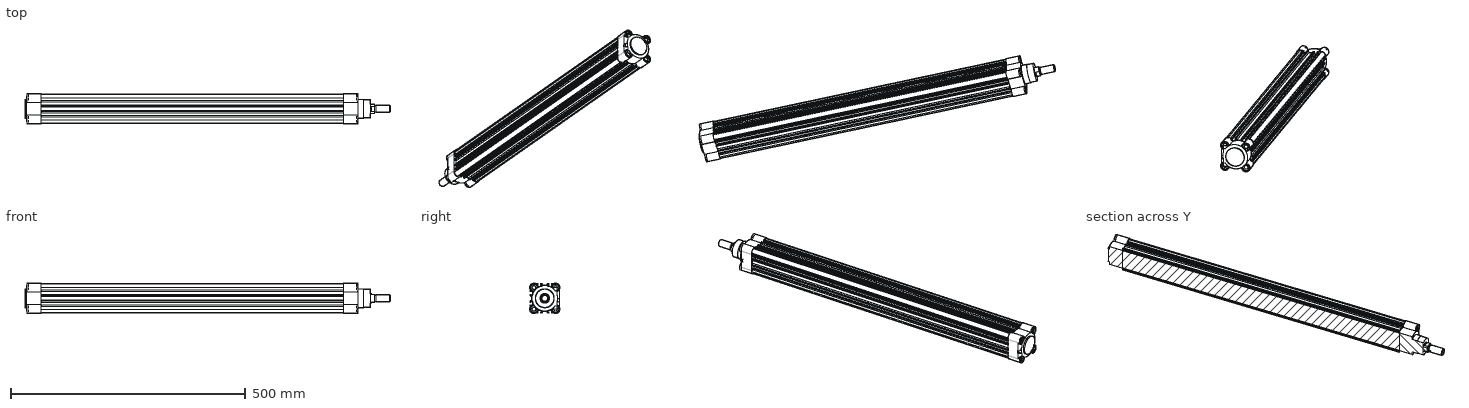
import cadquery as cq

TOTAL_LENGTH = 779.0
SIDE = 65.0
HALF_SIDE = SIDE / 2
SPIGOT_LENGTH = 3.0
CAP_LENGTH = 31.0
FRONT_FACE_X = 710.5
BARREL_START_X = SPIGOT_LENGTH + CAP_LENGTH
BARREL_LENGTH = FRONT_FACE_X - CAP_LENGTH - BARREL_START_X

LUG_RADIUS = 9.0
LUG_RECESS = 1.0
LUG_OFFSET = HALF_SIDE - LUG_RADIUS
CAP_BODY_RADIUS = 27.0
SPIGOT_RADIUS = 20.0
SCREW_HOLE_RADIUS = 7.0
SCREW_HOLE_DEPTH = 3.0
SCREW_CONE_RADIUS = 4.0
SCREW_CONE_DEPTH = 4.0

PAD_TOP_Y = 32.0
PAD_HEIGHT = 2 * LUG_OFFSET
PAD_BEVEL_LENGTH = 5.5
PAD_BEVEL_DROP = 6.0
CUSHION_HOLE_RADIUS = 4.0
CUSHION_HOLE_DEPTH = 8.0
CUSHION_HOLE_Y = 28.0
CUSHION_HOLE_Z = -4.0

COLLAR_LENGTH = 26.0
COLLAR_BASE_LENGTH = 12.0
COLLAR_BASE_RADIUS = SPIGOT_RADIUS
COLLAR_TIP_RADIUS = 19.5

BARREL_HALF_SIDE = 31.0
BARREL_CORNER_RADIUS = 8.0
CENTER_SLOT_TOP = 5.5
CENTER_SLOT_BOTTOM = 4.0
CENTER_SLOT_FLOOR = 28.0
RIB_OUTER = 8.5
GROOVE_OUTER = 15.0
GROOVE_FLOOR = 26.0
GROOVE_LIP = 2.0
GROOVE_UNDERCUT = 1.5
NOTCH_DEPTH = 5.5

ROD_RADIUS = 10.0
ROD_NECK_LENGTH = 9.0
WRENCH_FLAT_START = 2.0
WRENCH_FLAT_WIDTH = 17.0
THREAD_RADIUS = 8.0
RELIEF_RADIUS = 7.0
RELIEF_LENGTH = 2.0
THREAD_START_CHAMFER = 1.0
THREAD_END_CHAMFER = 1.5


def cylinder_x(radius, start_x, length, y=0.0, z=0.0):
    """Cylinder along X, centred on (y, z)."""
    return cq.Workplane("YZ", origin=(start_x, y, z)).circle(radius).extrude(length)


def make_screw_hole():
    """Blind hole that opens at x = 0 and runs toward +X, with a cone in its floor."""
    cone_end = SCREW_HOLE_DEPTH + SCREW_CONE_DEPTH
    return (
        cq.Workplane("XY")
        .polyline([
            (0, 0),
            (0, SCREW_HOLE_RADIUS),
            (SCREW_HOLE_DEPTH, SCREW_HOLE_RADIUS),
            (SCREW_HOLE_DEPTH, SCREW_CONE_RADIUS),
            (cone_end, 0),
        ])
        .close()
        .revolve(360, (0, 0, 0), (1, 0, 0))
    )


def make_port_pad():
    """Block on the +Y side with its outer end bevelled and a cushion screw hole in the bevel."""
    pad = (
        cq.Workplane("XY", origin=(0, 0, -PAD_HEIGHT / 2))
        .polyline([
            (0, 0),
            (0, PAD_TOP_Y - PAD_BEVEL_DROP),
            (PAD_BEVEL_LENGTH, PAD_TOP_Y),
            (CAP_LENGTH, PAD_TOP_Y),
            (CAP_LENGTH, 0),
        ])
        .close()
        .extrude(PAD_HEIGHT)
    )
    return pad.cut(cylinder_x(CUSHION_HOLE_RADIUS, 0, CUSHION_HOLE_DEPTH, CUSHION_HOLE_Y, CUSHION_HOLE_Z))


def make_cap():
    """End cap with its outer face at x = 0 and its inner face at x = CAP_LENGTH."""
    body = cylinder_x(CAP_BODY_RADIUS, 0, CAP_LENGTH)
    screw_hole = make_screw_hole()
    corners = [(y, z) for y in (-LUG_OFFSET, LUG_OFFSET) for z in (-LUG_OFFSET, LUG_OFFSET)]
    cap = body.union(make_port_pad())
    for y, z in corners:
        cap = cap.union(cylinder_x(LUG_RADIUS, LUG_RECESS, CAP_LENGTH - LUG_RECESS, y, z))
        cap = cap.cut(screw_hole.translate((LUG_RECESS, y, z)).cut(body))
    return cap


def make_rear_cap():
    spigot = cylinder_x(SPIGOT_RADIUS, 0, SPIGOT_LENGTH)
    return make_cap().translate((SPIGOT_LENGTH, 0, 0)).union(spigot)


def make_front_cap():
    cap = make_cap().mirror("YZ").translate((FRONT_FACE_X, 0, 0))
    collar_base = cylinder_x(COLLAR_BASE_RADIUS, FRONT_FACE_X, COLLAR_BASE_LENGTH)
    collar = cylinder_x(COLLAR_TIP_RADIUS, FRONT_FACE_X, COLLAR_LENGTH)
    return cap.union(collar_base).union(collar)


def barrel_prism(points):
    """Prism of the barrel's full length over a closed (y, z) outline."""
    profile = cq.Workplane("YZ", origin=(BARREL_START_X, 0, 0)).polyline(points).close()
    return profile.extrude(BARREL_LENGTH)


def make_side_grooves():
    """Cutters for the +Z side: a tapered centre slot, and a T-groove and a notch on either hand."""
    grooves = barrel_prism([
        (-CENTER_SLOT_TOP, BARREL_HALF_SIDE),
        (CENTER_SLOT_TOP, BARREL_HALF_SIDE),
        (CENTER_SLOT_BOTTOM, CENTER_SLOT_FLOOR),
        (-CENTER_SLOT_BOTTOM, CENTER_SLOT_FLOOR),
    ])
    notch_outer = BARREL_HALF_SIDE - BARREL_CORNER_RADIUS
    notch_inner = notch_outer - NOTCH_DEPTH
    chamber_inner = RIB_OUTER - GROOVE_UNDERCUT
    chamber_outer = GROOVE_OUTER + GROOVE_UNDERCUT
    lip_bottom = BARREL_HALF_SIDE - GROOVE_LIP
    for hand in (-1, 1):
        groove = barrel_prism([
            (hand * RIB_OUTER, BARREL_HALF_SIDE),
            (hand * GROOVE_OUTER, BARREL_HALF_SIDE),
            (hand * GROOVE_OUTER, lip_bottom),
            (hand * chamber_outer, lip_bottom),
            (hand * chamber_outer, GROOVE_FLOOR),
            (hand * chamber_inner, GROOVE_FLOOR),
            (hand * chamber_inner, lip_bottom),
            (hand * RIB_OUTER, lip_bottom),
        ])
        notch = barrel_prism([
            (hand * notch_outer, BARREL_HALF_SIDE),
            (hand * notch_inner, BARREL_HALF_SIDE),
            (hand * notch_inner, BARREL_HALF_SIDE - NOTCH_DEPTH),
        ])
        grooves = grooves.union(groove).union(notch)
    return grooves


def make_barrel():
    barrel_side = 2 * BARREL_HALF_SIDE
    base = cq.Workplane("YZ", origin=(BARREL_START_X, 0, 0))
    block = base.rect(barrel_side, barrel_side).extrude(BARREL_LENGTH)
    barrel = block.edges("|X").fillet(BARREL_CORNER_RADIUS)
    side_grooves = make_side_grooves()
    for angle in (0, 90, 180, 270):
        barrel = barrel.cut(side_grooves.rotate((0, 0, 0), (1, 0, 0), angle))
    return barrel


def make_rod():
    """Rod end that stands on the collar: a neck with two wrench flats, then the threaded end."""
    neck_start = FRONT_FACE_X + COLLAR_LENGTH
    relief_start = neck_start + ROD_NECK_LENGTH
    thread_start = relief_start + RELIEF_LENGTH
    neck = cylinder_x(ROD_RADIUS, neck_start, ROD_NECK_LENGTH)
    flat_start = neck_start + WRENCH_FLAT_START
    flat_length = ROD_NECK_LENGTH - WRENCH_FLAT_START
    for side in (-1, 1):
        flat_cut = cq.Workplane("XY").box(flat_length, SIDE, ROD_RADIUS, centered=(False, True, True))
        neck = neck.cut(flat_cut.translate((flat_start, 0, side * (WRENCH_FLAT_WIDTH + ROD_RADIUS) / 2)))
    thread = cylinder_x(THREAD_RADIUS, thread_start, TOTAL_LENGTH - thread_start)
    thread = thread.faces("<X").chamfer(THREAD_START_CHAMFER)
    thread = thread.faces(">X").chamfer(THREAD_END_CHAMFER)
    relief = cylinder_x(RELIEF_RADIUS, relief_start, RELIEF_LENGTH)
    return neck.union(relief).union(thread)


rear_cap = make_rear_cap()
front_cap = make_front_cap()
barrel = make_barrel()
rod = make_rod()
result = cq.Compound.makeCompound([rear_cap.val(), front_cap.val(), barrel.val(), rod.val()])